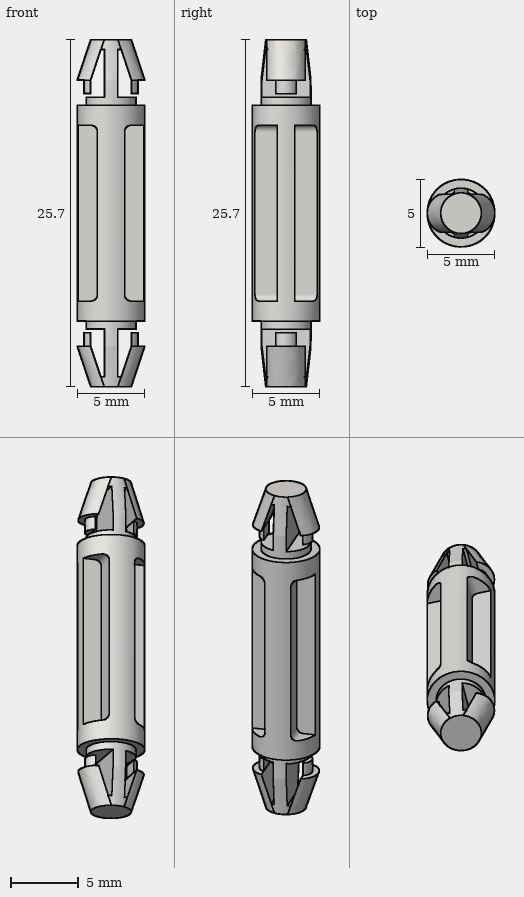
import cadquery as cq

total_height = 25.7
body_diameter = 5.0
body_height = 15.99

recess_height = 13.0
wide_rib_half = 1.0
narrow_rib_half = 0.65
recess_fillet = 0.5

shoulder_diameter = 3.7
shoulder_height = 0.6
web_thickness = 1.0
tip_diameter = 3.0
barb_height = 3.0
barb_spread = 1.0
barb_inner_x = 0.5
tip_block_height = 0.75
pin_length = 1.0
pin_thickness = 0.5
pin_half_width = 0.77

body_top = body_height / 2
tip_z = total_height / 2
barb_bottom = tip_z - barb_height
body_radius = body_diameter / 2


def body_recess():
    """Corner recess on the +X, +Y side, rounded where its floor meets its ends."""
    return (
        cq.Workplane("XY")
        .box(body_radius, body_radius, recess_height, centered=(False, False, True))
        .edges("<X and |Y")
        .fillet(recess_fillet)
        .translate((wide_rib_half, narrow_rib_half, 0))
    )


def tapered_core():
    """Round core: straight above the shoulder, then tapering to the tip."""
    shoulder_radius = shoulder_diameter / 2
    return (
        cq.Workplane("XZ")
        .moveTo(0, body_top)
        .lineTo(shoulder_radius, body_top)
        .lineTo(shoulder_radius, barb_bottom)
        .lineTo(tip_diameter / 2, tip_z)
        .lineTo(0, tip_z)
        .close()
        .revolve(360, (0, 0, 0), (0, 1, 0))
    )


def core_envelope():
    """Prism along Y whose section outlines the shoulder, web and tip block."""
    half_web = web_thickness / 2
    shoulder_top = body_top + shoulder_height
    block_bottom = tip_z - tip_block_height
    block_half = barb_inner_x + barb_spread * tip_block_height / barb_height
    return (
        cq.Workplane("XZ")
        .moveTo(-body_radius, body_top)
        .lineTo(body_radius, body_top)
        .lineTo(body_radius, shoulder_top)
        .lineTo(half_web, shoulder_top)
        .lineTo(half_web, block_bottom)
        .lineTo(block_half, block_bottom)
        .lineTo(barb_inner_x, tip_z)
        .lineTo(-barb_inner_x, tip_z)
        .lineTo(-block_half, block_bottom)
        .lineTo(-half_web, block_bottom)
        .lineTo(-half_web, shoulder_top)
        .lineTo(-body_radius, shoulder_top)
        .close()
        .extrude(body_radius, both=True)
    )


def barb():
    """Barb on the +X side: a leaning round segment with a pin under it."""
    tip_radius = tip_diameter / 2
    half_chord = (tip_radius**2 - barb_inner_x**2) ** 0.5
    path = cq.Workplane("XZ").moveTo(0, tip_z).lineTo(barb_spread, barb_bottom)
    leaning_segment = (
        cq.Workplane("XY")
        .workplane(offset=tip_z)
        .moveTo(barb_inner_x, -half_chord)
        .threePointArc((tip_radius, 0), (barb_inner_x, half_chord))
        .close()
        .sweep(path)
    )
    pin_inner_x = barb_inner_x + barb_spread
    pin = (
        cq.Workplane("XY")
        .workplane(offset=barb_bottom - pin_length)
        .moveTo(pin_inner_x, -pin_half_width)
        .threePointArc((pin_inner_x + pin_thickness, 0), (pin_inner_x, pin_half_width))
        .close()
        .extrude(pin_length)
    )
    return leaning_segment.union(pin)


def snap_end():
    """Complete upper snap-in end."""
    right_barb = barb()
    core = tapered_core().intersect(core_envelope())
    return core.union(right_barb).union(right_barb.mirror("YZ"))


body = cq.Workplane("XY").circle(body_radius).extrude(body_top, both=True)
right_back_recess = body_recess()
right_recesses = right_back_recess.union(right_back_recess.mirror("XZ"))
body = body.cut(right_recesses).cut(right_recesses.mirror("YZ"))

upper_end = snap_end()
result = body.union(upper_end).union(upper_end.mirror("XY"))